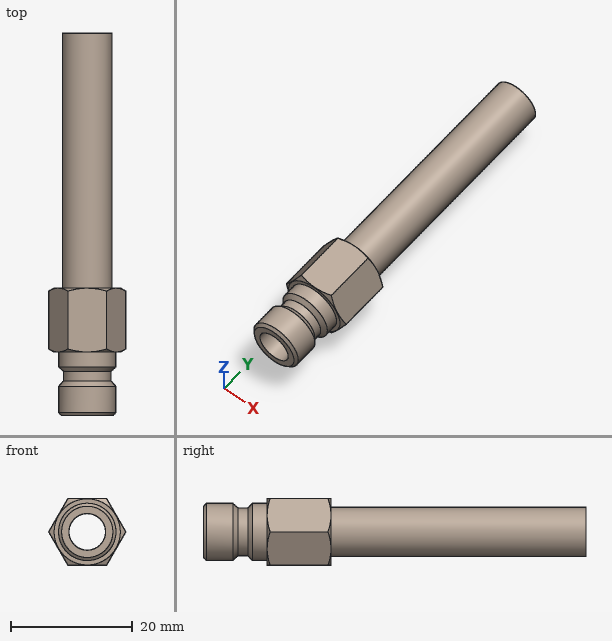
import cadquery as cq
import math

total_length = 63.0
bore_diameter = 6.0
tube_diameter = 8.2

plug_diameter = 9.45
tip_chamfer = 0.5
groove_diameter = 7.9
groove_front = 4.85
groove_floor_front = 5.75
groove_floor_back = 7.3
groove_back = 8.05

hex_across_flats = 11.0
hex_front = 10.45
hex_length = 10.6
hex_face_diameter = 10.9
hex_chamfer_angle = 30.0

hex_back = hex_front + hex_length
hex_across_corners = hex_across_flats / math.cos(math.radians(30))


def revolve_profile(points):
    """Revolve a (radius, Y) outline about the Y axis."""
    return cq.Workplane("XY").polyline(points).close().revolve(360, (0, 0, 0), (0, 1, 0))


def make_plug():
    radius = plug_diameter / 2
    groove_radius = groove_diameter / 2
    return revolve_profile([
        (0, 0),
        (radius - tip_chamfer, 0),
        (radius, tip_chamfer),
        (radius, groove_front),
        (groove_radius, groove_floor_front),
        (groove_radius, groove_floor_back),
        (radius, groove_back),
        (radius, hex_front),
        (0, hex_front),
    ])


def make_hexagon():
    prism = (
        cq.Workplane("XZ", origin=(0, hex_front, 0))
        .polygon(6, hex_across_corners)
        .extrude(-hex_length)
    )
    face_radius = hex_face_diameter / 2
    corner_radius = hex_across_corners / 2
    cone_depth = (corner_radius - face_radius) * math.tan(math.radians(hex_chamfer_angle))
    envelope = revolve_profile([
        (0, hex_front),
        (face_radius, hex_front),
        (corner_radius, hex_front + cone_depth),
        (corner_radius, hex_back - cone_depth),
        (face_radius, hex_back),
        (0, hex_back),
    ])
    return prism.intersect(envelope)


def make_cylinder(diameter, start, end):
    """Round bar along Y from start to end."""
    return cq.Workplane("XZ", origin=(0, start, 0)).circle(diameter / 2).extrude(start - end)


tube = make_cylinder(tube_diameter, hex_back, total_length)
bore = make_cylinder(bore_diameter, 0, total_length)

result = make_plug().union(make_hexagon()).union(tube).cut(bore)